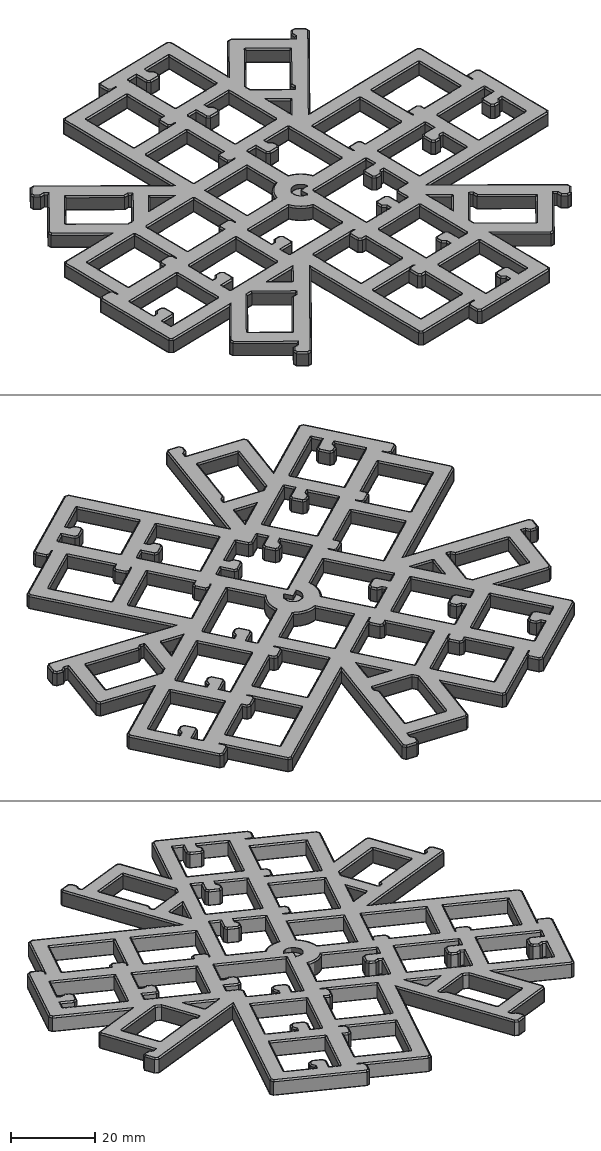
import cadquery as cq
import math

thickness = 4.0
edge_chamfer = 0.4
corner_cut = 0.8

half_spine = 2.3
lane_window_edge = 15.7
lane_outer_edge = 20.1
arm_end = 64.0
pitch = 20.0
hooked_window_count = 3
hooked_bar = 4.4
plain_lane_end = arm_end - 3.8
plain_bar = 4.4
plain_window_length = pitch - plain_bar
plain_window_count = 2
hooked_window_length = 15.5
nub_reach = 4.2

diagonal_window_edge = 12.8
diagonal_outer_edge = 17.2
diagonal_start = 25.6

hook_length = 4.1
hook_width = 4.4
neck_depth = 0.9
neck_length = 0.8
hook_overlap = 1.3
hook_inset = 2.4

hub_radius = 6.8
pocket_radius = 2.3
pocket_depth = 1.3


def bevelled(outline):
    """Full-height prism whose top edges are bevelled inwards."""
    return outline.extrude(thickness).faces(">Z").chamfer(edge_chamfer)


def flared(outline):
    """Full-height cutter that widens at the top, so the opening it leaves has a bevelled rim."""
    straight = outline.extrude(thickness - edge_chamfer)
    return straight.faces(">Z").wires().toPending().workplane().extrude(edge_chamfer, taper=-45)


def rectangle(x0, x1, y0, y1):
    """Rectangular outline between the given X and Y limits."""
    return polygon([(x0, y0), (x1, y0), (x1, y1), (x0, y1)])


def polygon(points):
    """Closed outline through the given points."""
    return cq.Workplane("XY").polyline(points).close()


def joined(shapes):
    """Union of a list of shapes."""
    total = shapes[0]
    for shape in shapes[1:]:
        total = total.union(shape)
    return total


def place(shape, angle, flipped):
    """Turn a shape built along +X to its arm; a flipped arm is first mirrored across its axis."""
    if flipped:
        shape = shape.mirror("XZ")
    return shape.rotate((0, 0, 0), (0, 0, 1), angle)


def lane_outline(start, end, root, outer):
    """Outline of a lane from its spine-side edge to its outer edge, with the free corner cut off."""
    side = math.copysign(corner_cut, outer)
    return polygon([
        (start, root),
        (end, root),
        (end, outer - side),
        (end - corner_cut, outer),
        (start, outer),
    ])


def straight_body():
    """Solid body of an arm along +X: hooked lane on +Y and plain lane on -Y."""
    hooked_lane = bevelled(lane_outline(-half_spine, arm_end, -half_spine, lane_outer_edge))
    plain_lane = bevelled(lane_outline(lane_window_edge, plain_lane_end, 0, -lane_outer_edge))
    return hooked_lane.union(plain_lane)


def straight_windows():
    """Cutters for both lanes of an arm along +X, without the opening next to the hub."""
    hooked_lane = [
        flared(rectangle(end - hooked_window_length, end, half_spine, lane_window_edge))
        for end in hooked_window_ends[:-1]
    ]
    plain_lane = [
        flared(rectangle(end - plain_window_length, end, -lane_window_edge, -half_spine))
        for end in plain_window_ends
    ]
    return joined(hooked_lane + plain_lane)


def hub_window():
    """Cutter for the opening of the hooked lane next to the hub of an arm along +X."""
    return flared(rectangle(half_spine, hooked_window_ends[-1], half_spine, lane_window_edge))


def shared_window():
    """Cutter for the L-shaped opening shared by the hooked lanes along +X and +Y."""
    end = hooked_window_ends[-1]
    return flared(polygon([
        (half_spine, half_spine),
        (end, half_spine),
        (end, lane_window_edge),
        (lane_window_edge + corner_cut, lane_window_edge),
        (lane_window_edge, lane_window_edge + corner_cut),
        (lane_window_edge, end),
        (half_spine, end),
    ]))


def nub(start, end):
    """End of a cross bar, standing past the spine into the plain lane."""
    return bevelled(polygon([
        (start, 0),
        (start, corner_cut - nub_reach),
        (start + corner_cut, -nub_reach),
        (end - corner_cut, -nub_reach),
        (end, corner_cut - nub_reach),
        (end, 0),
    ]))


def hook():
    """Hook growing along +X from a wall at X = 0: straight side on Y = 0, barb towards +Y."""
    neck_edge = hook_width - neck_depth
    return bevelled(polygon([
        (-hook_overlap, 0),
        (hook_length - corner_cut, 0),
        (hook_length, corner_cut),
        (hook_length, hook_width - corner_cut),
        (hook_length - corner_cut, hook_width),
        (neck_length + neck_depth, hook_width),
        (neck_length, neck_edge),
        (-hook_overlap, neck_edge),
    ]))


def nubs_and_hooks(barb_outwards):
    """Nub of each cross bar of an arm along +X, and the hook pointing from it to the hub."""
    parts = []
    for end in hooked_window_ends:
        parts.append(nub(end, end + hooked_bar))
        inward_hook = hook().mirror("YZ")
        if barb_outwards:
            parts.append(inward_hook.translate((end, half_spine + hook_inset, 0)))
        else:
            parts.append(inward_hook.mirror("XZ").translate((end, lane_window_edge - hook_inset, 0)))
    return joined(parts)


def diagonal_arm():
    """Arm along +X: a plain lane on -Y, a hook at the tip of its spine and a neck in its window."""
    body = bevelled(polygon([
        (diagonal_start, half_spine),
        (plain_lane_end, half_spine),
        (plain_lane_end, corner_cut - diagonal_outer_edge),
        (plain_lane_end - corner_cut, -diagonal_outer_edge),
        (diagonal_start, -diagonal_outer_edge),
    ]))
    end = plain_window_ends[0]
    start = end - plain_window_length
    neck_edge = neck_depth - half_spine
    window = flared(polygon([
        (start, -diagonal_window_edge),
        (end, -diagonal_window_edge),
        (end, -half_spine),
        (start + neck_length + neck_depth, -half_spine),
        (start + neck_length, neck_edge),
        (start, neck_edge),
    ]))
    inner_gap = flared(rectangle(0, start - plain_bar, -2 * diagonal_outer_edge, -half_spine))
    tip_hook = hook().mirror("XZ").translate((plain_lane_end, half_spine, 0))
    return body.cut(window).cut(inner_gap).union(tip_hook)


hooked_window_ends = [arm_end - hooked_bar - i * pitch for i in range(hooked_window_count)]
plain_window_ends = [plain_lane_end - plain_bar - i * pitch for i in range(plain_window_count)]

straight_arms = [(0, False), (-90, False), (180, True), (90, True)]
diagonal_arms = [(45, False), (-45, False), (135, True), (-135, True)]

plate = joined(
    [place(straight_body(), *arm) for arm in straight_arms]
    + [place(diagonal_arm(), *arm) for arm in diagonal_arms])

for arm in straight_arms:
    plate = plate.cut(place(straight_windows(), *arm))
plate = plate.cut(place(hub_window(), -90, False)).cut(place(hub_window(), 180, True))
plate = plate.cut(shared_window())

for angle, flipped in straight_arms:
    plate = plate.union(place(nubs_and_hooks(flipped), angle, flipped))

hub = bevelled(cq.Workplane("XY").circle(hub_radius)).cut(shared_window())
plate = plate.union(hub)

pocket = cq.Workplane("XY").circle(pocket_radius).extrude(thickness)
pocket = pocket.cut(rectangle(0, pocket_radius, 0, pocket_radius).extrude(thickness))
result = plate.cut(pocket.translate((0, 0, thickness - pocket_depth)))